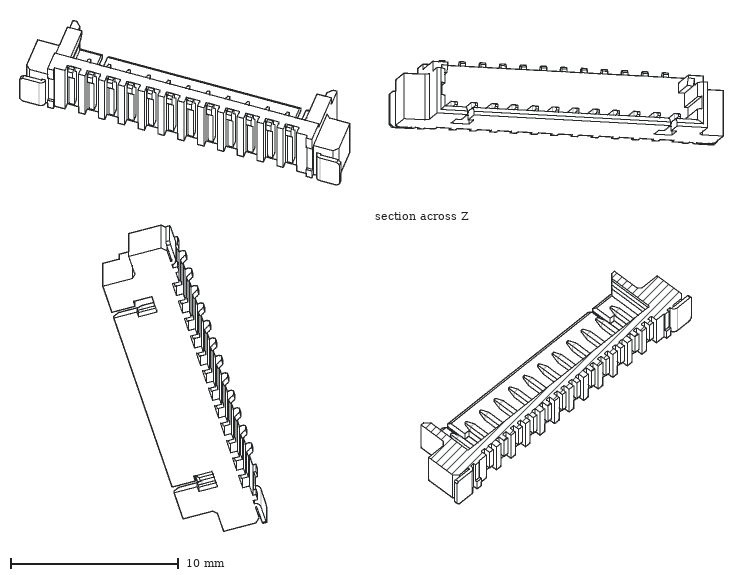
import cadquery as cq


PIN_COUNT = 12
PITCH = 1.25
PIN_WIDTH = 0.32
PIN_THICK = 0.46
PIN_BOTTOM = 0.66
PIN_TOP = 4.2
PIN_REAR = 4.75
PIN_JOG = 0.3
JOG_HEIGHT = 0.42
JOG_TOP = 3.57
TAIL_CHAMFER = 0.15
TIP_DEPTH = 1.1
TIP_LENGTH = 0.56
TIP_WIDTH = 0.15

BODY_HALF = 8.32
BODY_HEIGHT = 3.69
REAR_WALL_FRONT = 3.39
REAR_FACE = 4.45
SIDE_HEIGHT = 2.78
CAVITY_HALF = 7.78
FLOOR_TOP = 0.52
MOUTH_CHAMFER = 0.3

FLANGE_HALF = 7.4
FLANGE_TOP = 3.37
FLANGE_FRONT = 1.03
FLANGE_CUT_DEPTH = 0.26
FLANGE_CUT_HEIGHT = 0.4

GROOVE_BOTTOM = 1.17
GROOVE_TOP = 1.91
GROOVE_DEPTH = 0.22

WINDOW_WIDTH = 1.09
WINDOW_FRONT = 1.45
WINDOW_REAR = 2.6
SLIT_WIDTH = 0.4

SLOT_WIDTH = 0.85
SLOT_FLOOR = 4.03
TAB_WIDTH = 0.36
TAB_REAR = 4.65
TAB_RECESS = 4.51
TAB_FOOT = 0.66

EAR_HALF = 9.83
EAR_FRONT = 2.08
EAR_REAR = 4.37
EAR_CHAMFER = 0.28
EAR_GUSSET = 0.22

NAIL_HALF = 10.08
NAIL_HEIGHT = 2.18
NAIL_REAR = 4.7
NAIL_THICK = 0.25
NAIL_INNER = 8.55
NAIL_ANCHOR = 0.2
BEND_RADIUS = 0.3
NAIL_CHAMFER = 0.18


def block(x_min, x_max, front, rear, z_min, z_max):
    """Box between two X positions, two depths and two heights."""
    return cq.Workplane("XY").box(
        x_max - x_min, rear - front, z_max - z_min, centered=False
    ).translate((x_min, -rear, z_min))


def plan_prism(points, height):
    """Outline of (x, depth) points raised from Z = 0."""
    return cq.Workplane("XY").polyline([(x, -d) for x, d in points]).close().extrude(height)


def side_prism(points, x_min, x_max):
    """Outline of (depth, z) points carried from x_min to x_max."""
    outline = [(-d, z) for d, z in points]
    return cq.Workplane("YZ").polyline(outline).close().extrude(x_max - x_min).translate((x_min, 0, 0))


def both_ends(shape):
    """A +X end feature together with its mirror image at -X."""
    return shape.union(shape.mirror("YZ"))


pin_positions = [(i - (PIN_COUNT - 1) / 2) * PITCH for i in range(PIN_COUNT)]


def housing_shell():
    """Rear wall, side walls and floor, with the cavity flared at the mouth."""
    shell = block(-BODY_HALF, BODY_HALF, 0, REAR_FACE, 0, SIDE_HEIGHT)
    rear_wall = block(-BODY_HALF, BODY_HALF, REAR_WALL_FRONT, REAR_FACE, 0, BODY_HEIGHT)
    cavity = block(-CAVITY_HALF, CAVITY_HALF, 0, REAR_WALL_FRONT, FLOOR_TOP, SIDE_HEIGHT)
    flare_half = CAVITY_HALF + MOUTH_CHAMFER
    side_flare = plan_prism(
        [(-flare_half, 0), (flare_half, 0), (CAVITY_HALF, MOUTH_CHAMFER), (-CAVITY_HALF, MOUTH_CHAMFER)],
        SIDE_HEIGHT,
    )
    floor_flare = side_prism(
        [
            (0, FLOOR_TOP - MOUTH_CHAMFER),
            (MOUTH_CHAMFER, FLOOR_TOP),
            (MOUTH_CHAMFER, SIDE_HEIGHT),
            (0, SIDE_HEIGHT),
        ],
        -flare_half,
        flare_half,
    )
    return shell.cut(cavity).cut(side_flare.intersect(floor_flare)).union(rear_wall)


def flange():
    """Overhanging flange on the +X side wall, cut back below its front edge."""
    cut_rear = FLANGE_FRONT + FLANGE_CUT_DEPTH
    cut_top = SIDE_HEIGHT + FLANGE_CUT_HEIGHT
    overhang = side_prism(
        [
            (FLANGE_FRONT, FLANGE_TOP),
            (REAR_WALL_FRONT, FLANGE_TOP),
            (REAR_WALL_FRONT, SIDE_HEIGHT),
            (cut_rear, SIDE_HEIGHT),
            (FLANGE_FRONT, cut_top),
        ],
        FLANGE_HALF,
        CAVITY_HALF,
    )
    root = block(CAVITY_HALF, BODY_HALF, FLANGE_FRONT, REAR_WALL_FRONT, SIDE_HEIGHT, FLANGE_TOP)
    return root.union(overhang)


def latch_groove():
    """Groove along the inside of the +X side wall."""
    return block(
        CAVITY_HALF, CAVITY_HALF + GROOVE_DEPTH, 0, REAR_WALL_FRONT, GROOVE_BOTTOM, GROOVE_TOP
    )


def floor_opening():
    """Window in the floor near the +X end, with a slit to the mating face."""
    centre = pin_positions[-1] - PITCH / 2
    window = block(
        centre - WINDOW_WIDTH / 2, centre + WINDOW_WIDTH / 2, WINDOW_FRONT, WINDOW_REAR, 0, FLOOR_TOP
    )
    slit = block(centre - SLIT_WIDTH / 2, centre + SLIT_WIDTH / 2, 0, WINDOW_FRONT, 0, FLOOR_TOP)
    return window.union(slit)


def rear_tab():
    """Upright tab on the rear face at the +X end, recessed between head and foot."""
    inner = BODY_HALF - TAB_WIDTH
    tab = block(inner, BODY_HALF, REAR_FACE, TAB_REAR, 0, BODY_HEIGHT)
    return tab.cut(block(inner, BODY_HALF, TAB_RECESS, TAB_REAR, TAB_FOOT, SIDE_HEIGHT))


def contact_slot(x):
    """Upright slot in the rear face around one contact leg."""
    return block(x - SLOT_WIDTH / 2, x + SLOT_WIDTH / 2, SLOT_FLOOR, REAR_FACE, 0, BODY_HEIGHT)


def ear():
    """Block beside the +X side wall that holds the solder nail."""
    return plan_prism(
        [
            (BODY_HALF, EAR_FRONT - EAR_GUSSET),
            (BODY_HALF + EAR_GUSSET, EAR_FRONT),
            (EAR_HALF, EAR_FRONT),
            (EAR_HALF, EAR_REAR - EAR_CHAMFER),
            (EAR_HALF - EAR_CHAMFER, EAR_REAR),
            (BODY_HALF, EAR_REAR),
        ],
        SIDE_HEIGHT,
    )


def solder_nail():
    """Bent sheet-metal nail leaving the +X ear and turning outward."""
    sheet_front = NAIL_REAR - NAIL_THICK
    anchor_front = EAR_REAR - NAIL_ANCHOR
    plate = block(NAIL_INNER, NAIL_HALF, sheet_front, NAIL_REAR, 0, NAIL_HEIGHT)
    plate = plate.edges("|Y and >X").chamfer(NAIL_CHAMFER)
    anchor = block(NAIL_INNER, NAIL_INNER + NAIL_THICK, anchor_front, NAIL_REAR, 0, NAIL_HEIGHT)
    return plate.union(anchor).edges("|Z and <X and <Y").fillet(BEND_RADIUS)


def contact(x):
    """Bent contact: pointed pin in the cavity, leg in the rear slot and jogged tail on top."""
    tail_front = PIN_REAR - PIN_THICK
    leg_rear = PIN_REAR - PIN_JOG
    leg_front = leg_rear - PIN_THICK
    jog_bottom = JOG_TOP - JOG_HEIGHT
    left = x - PIN_WIDTH / 2
    right = x + PIN_WIDTH / 2
    leg = side_prism(
        [
            (leg_front, PIN_BOTTOM),
            (leg_rear, PIN_BOTTOM),
            (leg_rear, jog_bottom),
            (PIN_REAR, JOG_TOP),
            (PIN_REAR, PIN_TOP - TAIL_CHAMFER),
            (PIN_REAR - TAIL_CHAMFER, PIN_TOP),
            (tail_front + TAIL_CHAMFER, PIN_TOP),
            (tail_front, PIN_TOP - TAIL_CHAMFER),
            (tail_front, BODY_HEIGHT),
            (leg_front, BODY_HEIGHT - JOG_HEIGHT),
        ],
        left,
        right,
    )
    pin_top = PIN_BOTTOM + PIN_THICK
    pin_middle = PIN_BOTTOM + PIN_THICK / 2
    shoulder = TIP_DEPTH + TIP_LENGTH
    shaft = block(left, right, shoulder, leg_front, PIN_BOTTOM, pin_top)
    tip = (
        cq.Workplane("XZ", origin=(x, -shoulder, pin_middle))
        .rect(PIN_WIDTH, PIN_THICK)
        .workplane(offset=-TIP_LENGTH)
        .rect(TIP_WIDTH, TIP_WIDTH)
        .loft(ruled=True)
    )
    return leg.union(shaft).union(tip)


housing = housing_shell()
housing = housing.union(both_ends(flange()))
housing = housing.cut(both_ends(latch_groove()))
housing = housing.cut(both_ends(floor_opening()))
housing = housing.union(both_ends(rear_tab()))
housing = housing.union(both_ends(ear()))

for pin_x in pin_positions:
    housing = housing.cut(contact_slot(pin_x))

result = housing.union(both_ends(solder_nail()))
for pin_x in pin_positions:
    result = result.union(contact(pin_x))